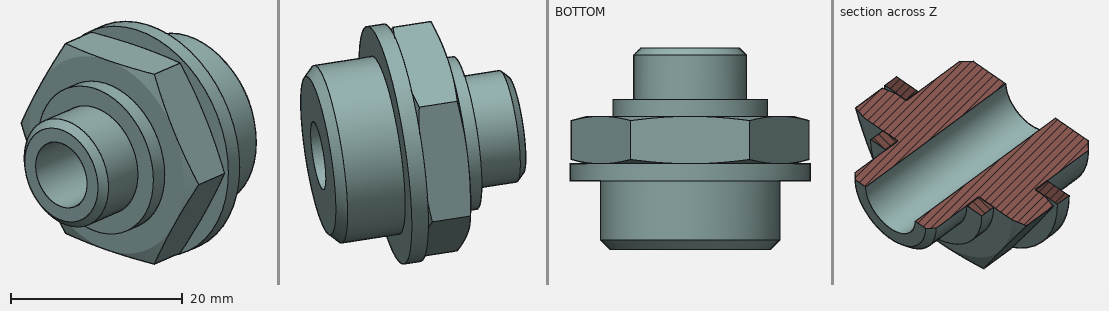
import cadquery as cq
import math

bore_diameter = 8.0

hex_across_flats = 24.0
hex_length = 5.52
hex_chamfer_angle = 15.0

small_thread_diameter = 13.15
small_thread_exposed = 6.0
small_thread_chamfer = 0.87

large_thread_diameter = 20.95
large_thread_exposed = 8.0
large_thread_chamfer = 1.15

ring_thickness = 2.0
small_ring_outer = 18.0
small_ring_inner = 13.2
large_ring_outer = 28.0
large_ring_inner = 21.0

hex_back = hex_length
small_end = -(ring_thickness + small_thread_exposed)
large_end = hex_back + ring_thickness + large_thread_exposed


def cylinder(diameter, y_start, y_end):
    """Solid cylinder about Y between two stations."""
    plane = cq.Workplane("XZ", origin=(0, y_start, 0))
    return plane.circle(diameter / 2).extrude(y_start - y_end)


def make_hexagon():
    """Hexagon with both ends turned to a shallow cone touching the flats."""
    across_corners = hex_across_flats / math.cos(math.radians(30))
    prism = cq.Workplane("XZ").polygon(6, across_corners).extrude(-hex_length)

    flat_radius = hex_across_flats / 2
    corner_radius = across_corners / 2
    drop = (corner_radius - flat_radius) * math.tan(math.radians(hex_chamfer_angle))
    turned_envelope = (
        cq.Workplane("XY")
        .moveTo(0, 0)
        .lineTo(flat_radius, 0)
        .lineTo(corner_radius, drop)
        .lineTo(corner_radius, hex_back - drop)
        .lineTo(flat_radius, hex_back)
        .lineTo(0, hex_back)
        .close()
        .revolve(360, (0, 0, 0), (0, 1, 0))
    )
    return prism.intersect(turned_envelope)


def make_fitting():
    """Double-ended threaded adapter with a hexagon and a through bore."""
    small_thread = cylinder(small_thread_diameter, small_end, 0)
    small_thread = small_thread.faces("<Y").chamfer(small_thread_chamfer)
    large_thread = cylinder(large_thread_diameter, hex_back, large_end)
    large_thread = large_thread.faces(">Y").chamfer(large_thread_chamfer)
    bore = cylinder(bore_diameter, small_end, large_end)
    return make_hexagon().union(small_thread).union(large_thread).cut(bore)


def make_sealing_ring(outer_diameter, inner_diameter, y_start):
    """Flat ring that sits around a thread with a slight clearance."""
    y_end = y_start + ring_thickness
    disc = cylinder(outer_diameter, y_start, y_end)
    return disc.cut(cylinder(inner_diameter, y_start, y_end))


fitting = make_fitting()
small_ring = make_sealing_ring(small_ring_outer, small_ring_inner, -ring_thickness)
large_ring = make_sealing_ring(large_ring_outer, large_ring_inner, hex_back)

result = cq.Compound.makeCompound([fitting.val(), small_ring.val(), large_ring.val()])